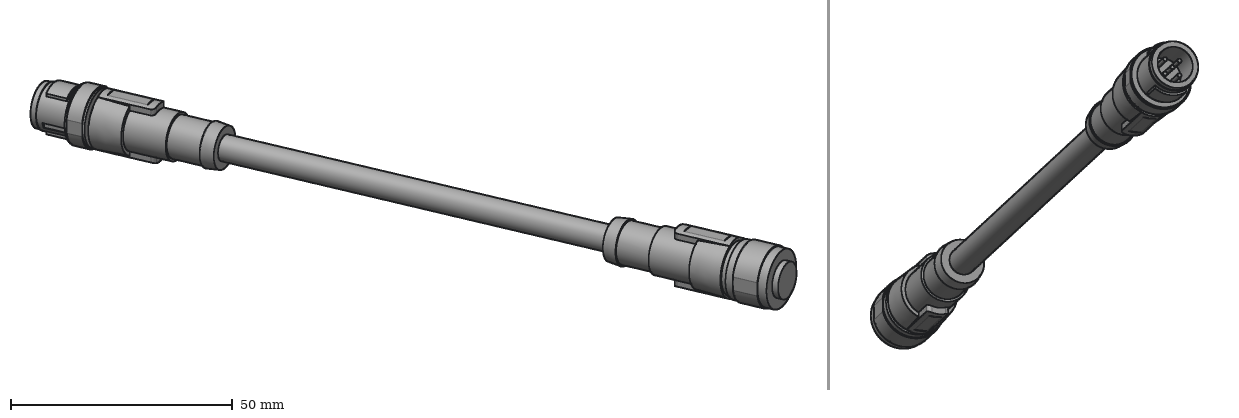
import cadquery as cq

LENGTH = 191.3
MIRROR_PLANE_X = 96.8
CABLE_DIAMETER = 6.3

GRIP_START = 15.7
SHOULDER_END = 24.0
BARREL_END = 34.8
COLLAR_START = 43.5
GRIP_END = 46.9
SHOULDER_START_RADIUS = 7.0
SHOULDER_END_RADIUS = 6.7
BARREL_DIAMETER = 11.5
SLEEVE_RADIUS = 5.2
COLLAR_START_RADIUS = 5.5
COLLAR_END_RADIUS = 5.2

PAD_END = 30.2
PAD_WIDTH = 5.2
PAD_HEIGHT = 7.3
PAD_CROWN_RADIUS = 5.7
PAD_CORNER_RADIUS = 1.0
PAD_FLAT_DEPTH = 0.2
PAD_FLAT_START = 17.6
PAD_FLAT_END = 28.0

BAND_DIAMETER = 14.7
BAND_WIDTH_ACROSS_FLATS = 14.3
RIM_DIAMETER = 14.2
RING_START = 9.5
RING_END = 14.7
RING_RIM = 0.5
NUT_START = 179.2
NUT_BAND_START = 181.2
NUT_BAND_END = 187.5
NUT_END = 189.8
RING_NECK_RADIUS = 5.0
NUT_NECK_RADIUS = 6.5

NOSE_DIAMETER = 11.5
NOSE_TIP_DIAMETER = 11.0
NOSE_TIP_LENGTH = 1.5
BORE_RADIUS = 4.2
BORE_DEPTH = 8.5
LUG_START = 3.0
LUG_END = 8.5
LUG_DIAMETER = 12.6
LUG_WIDTH = 7.5
GROOVE_START = 3.0
GROOVE_TOP = -1.5
GROOVE_BOTTOM = -3.0
GROOVE_FLOOR_Y = -4.5
CONTACT_START = 2.0
KEY_RADIUS = 0.8
PIN_RADIUS = 0.48
PIN_OFFSET = 1.7

INSERT_RADIUS = 4.4


def rod(radius, start, end):
    """Cylinder on the X axis between two positions."""
    return cq.Workplane("YZ", origin=(start, 0, 0)).circle(radius).extrude(end - start)


def box(x_range, y_range, z_range):
    """Axis-aligned block given by its limits."""
    ranges = (x_range, y_range, z_range)
    sizes = [high - low for low, high in ranges]
    corner = tuple(low for low, high in ranges)
    return cq.Workplane().box(*sizes, centered=False).translate(corner)


def thumb_pad():
    """Crowned pad on +Z with a flat across its middle."""
    half_width = PAD_WIDTH / 2
    crown_axis_z = PAD_HEIGHT - PAD_CROWN_RADIUS
    outline = (
        box((GRIP_START, PAD_END), (-half_width, half_width), (crown_axis_z, PAD_HEIGHT))
        .edges("|Z and >X")
        .fillet(PAD_CORNER_RADIUS)
    )
    crown = rod(PAD_CROWN_RADIUS, GRIP_START, PAD_END).translate((0, 0, crown_axis_z))
    flat = box(
        (PAD_FLAT_START, PAD_FLAT_END),
        (-half_width, half_width),
        (PAD_HEIGHT - PAD_FLAT_DEPTH, PAD_HEIGHT),
    )
    return outline.intersect(crown).cut(flat)


def grip():
    """Stepped moulding with a tapered collar at the cable and two thumb pads."""
    profile = [
        (GRIP_START, 0),
        (GRIP_START, SHOULDER_START_RADIUS),
        (SHOULDER_END, SHOULDER_END_RADIUS),
        (SHOULDER_END, BARREL_DIAMETER / 2),
        (BARREL_END, BARREL_DIAMETER / 2),
        (BARREL_END, SLEEVE_RADIUS),
        (COLLAR_START, SLEEVE_RADIUS),
        (COLLAR_START, COLLAR_START_RADIUS),
        (GRIP_END, COLLAR_END_RADIUS),
        (GRIP_END, 0),
    ]
    moulding = cq.Workplane("XZ").polyline(profile).close().revolve(360, (0, 0, 0), (1, 0, 0))
    pad = thumb_pad()
    return moulding.union(pad).union(pad.mirror("XY"))


def coupling_ring(start, band_start, band_end, end):
    """Ring whose raised band has a flat on +Y and on -Y."""
    half_width = BAND_WIDTH_ACROSS_FLATS / 2
    band_radius = BAND_DIAMETER / 2
    between_flats = box(
        (band_start, band_end), (-half_width, half_width), (-band_radius, band_radius)
    )
    band = rod(band_radius, band_start, band_end).intersect(between_flats)
    return rod(RIM_DIAMETER / 2, start, end).union(band)


def nose():
    """Hollow nose with two lugs, a side groove, a bore key and five contact pins."""
    nose_radius = NOSE_DIAMETER / 2
    lug_radius = LUG_DIAMETER / 2
    shell = rod(NOSE_TIP_DIAMETER / 2, 0, RING_START).union(rod(nose_radius, NOSE_TIP_LENGTH, RING_START))

    lug_slab = box((LUG_START, LUG_END), (-LUG_WIDTH / 2, LUG_WIDTH / 2), (-lug_radius, lug_radius))
    lugs = rod(lug_radius, LUG_START, LUG_END).intersect(lug_slab)
    groove = box(
        (GROOVE_START, RING_START), (-nose_radius, GROOVE_FLOOR_Y), (GROOVE_BOTTOM, GROOVE_TOP)
    )
    key = rod(KEY_RADIUS, CONTACT_START, BORE_DEPTH).translate((0, 0, -BORE_RADIUS))
    bore = rod(BORE_RADIUS, 0, BORE_DEPTH).cut(key)
    shell = shell.union(lugs).cut(groove).cut(bore)

    offsets = (-PIN_OFFSET, PIN_OFFSET)
    pin_places = [(0, 0)] + [(y, z) for y in offsets for z in offsets]
    for y, z in pin_places:
        shell = shell.union(rod(PIN_RADIUS, CONTACT_START, RING_START).translate((0, y, z)))
    return shell


plug_grip = grip()
plug = (
    nose()
    .union(coupling_ring(RING_START, RING_START + RING_RIM, RING_END - RING_RIM, RING_END))
    .union(rod(RING_NECK_RADIUS, RING_END, GRIP_START))
    .union(plug_grip)
)

socket_grip_start = 2 * MIRROR_PLANE_X - GRIP_END
socket_grip_end = 2 * MIRROR_PLANE_X - GRIP_START
socket = (
    plug_grip.mirror("YZ", (MIRROR_PLANE_X, 0, 0))
    .union(rod(NUT_NECK_RADIUS, socket_grip_end, NUT_START))
    .union(coupling_ring(NUT_START, NUT_BAND_START, NUT_BAND_END, NUT_END))
    .union(rod(INSERT_RADIUS, NUT_END, LENGTH))
)

cable = rod(CABLE_DIAMETER / 2, GRIP_END, socket_grip_start)
result = cable.union(plug).union(socket)